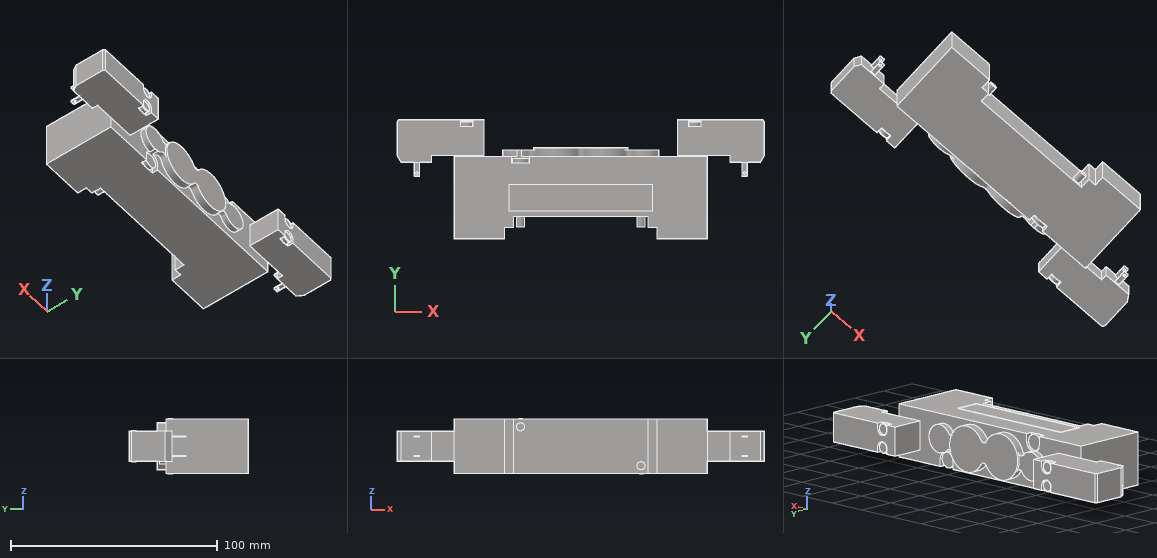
import cadquery as cq
import math


housing_length = 123.0
housing_depth = 40.0
housing_height = 26.5
foot_inner_x = 36.9
foot_depth = 5.3
bay_half_length = 32.6
bay_depth = 10.7

label_length = 69.5
label_width = 13.0
label_offset = 13.5
label_recess = 0.2

main_boss_diameter = 23.0
main_boss_radius = main_boss_diameter / 2
main_boss_height = 4.3
side_boss_radius = 7.1
side_boss_height = 3.2
side_boss_x = 30.8
side_boss_z = 1.6
neck_fillet_radius = 2.0

screw_x = 29.2
screw_z = 9.5
shank_diameter = 4.0
shank_protrusion = 5.0
head_diameter = 8.0
head_height = 2.1
seat_depth = 3.2
seat_width = 8.5

pilot_outer_x = 89.1
pilot_inner_x = 46.9
pilot_step_x = 72.3
pilot_height = 14.6
pilot_gap = 0.4
pilot_rear_y = 17.8
pilot_step_depth = 3.2
front_chamfer_x = 2.0
front_chamfer_y = 3.2
rear_chamfer_x = 0.7
rear_chamfer_y = 1.0

pilot_screw_x = 55.5
pilot_screw_z = 4.6
pilot_head_diameter = 5.9
pilot_head_height = 2.5
pilot_head_chamfer = 0.4
pilot_seat_depth = 3.2
pilot_seat_width = 6.0

terminal_x = 79.5
terminal_z = 4.8
terminal_width = 2.7
terminal_thickness = 0.5
terminal_length = 6.8
terminal_corner = 0.2
terminal_hole_diameter = 1.0
terminal_hole_inset = 1.6


def cylinder_along_y(x, z, diameter, y_start, y_end):
    """Cylinder parallel to Y between two Y positions."""
    plane = cq.Plane(origin=(x, y_start, z), xDir=(1, 0, 0), normal=(0, 1, 0))
    return cq.Workplane(plane).circle(diameter / 2).extrude(y_end - y_start)


def open_seat(x, z, width, side, y_start, y_end):
    """U-shaped screw seat: a round floor with straight walls that open past the side face."""
    length = y_end - y_start
    round_end = cylinder_along_y(x, z, width, y_start, y_end)
    opening = cq.Workplane("XY").box(width, length, width)
    opening = opening.translate((x, (y_start + y_end) / 2, z + side * width / 2))
    return round_end.union(opening)


def neck(spacing, start_radius, end_radius, height):
    """Web along +X that joins a boss at the origin to a boss at `spacing`, with filleted flanks."""
    start_reach = start_radius + neck_fillet_radius
    end_reach = end_radius + neck_fillet_radius
    along = (start_reach**2 - end_reach**2 + spacing**2) / (2 * spacing)
    across = math.sqrt(start_reach**2 - along**2)
    waist = across - neck_fillet_radius

    start_x = along * start_radius / start_reach
    start_z = across * start_radius / start_reach
    end_x = spacing - (spacing - along) * end_radius / end_reach
    end_z = across * end_radius / end_reach

    return (
        cq.Workplane("XZ")
        .moveTo(start_x, start_z)
        .threePointArc((along, waist), (end_x, end_z))
        .lineTo(end_x, -end_z)
        .threePointArc((along, -waist), (start_x, -start_z))
        .close()
        .extrude(-height)
    )


def main_bosses():
    """Two round bosses side by side, joined by a neck at the middle of the rear face."""
    bosses = neck(main_boss_diameter, main_boss_radius, main_boss_radius, main_boss_height)
    bosses = bosses.translate((-main_boss_radius, 0, 0))
    for side in (-1, 1):
        bosses = bosses.union(
            cylinder_along_y(side * main_boss_radius, 0, main_boss_diameter, 0, main_boss_height)
        )
    return bosses


def right_side_boss():
    """Lower round boss on the right, with the neck that joins it to the right main boss."""
    run = side_boss_x - main_boss_radius
    spacing = math.hypot(run, side_boss_z)
    tilt = math.degrees(math.atan2(side_boss_z, run))
    boss_neck = (
        neck(spacing, main_boss_radius, side_boss_radius, side_boss_height)
        .rotate((0, 0, 0), (0, 1, 0), -tilt)
        .translate((main_boss_radius, 0, 0))
    )
    boss = cylinder_along_y(side_boss_x, side_boss_z, 2 * side_boss_radius, 0, side_boss_height)
    return boss.union(boss_neck)


def housing_screw(side):
    """Screw with its head in the rear seat; the right one (side = 1) is low, the left one high."""
    x = side * screw_x
    z = -side * screw_z
    shank_end_y = bay_depth - housing_depth - shank_protrusion
    shank = cylinder_along_y(x, z, shank_diameter, shank_end_y, -seat_depth)
    head = cylinder_along_y(x, z, head_diameter, -seat_depth, head_height - seat_depth)
    return shank.union(head)


def make_housing():
    body = cq.Workplane("XY").box(housing_length, housing_depth, housing_height)
    body = body.translate((0, -housing_depth / 2, 0))
    for half_length, depth in ((foot_inner_x, foot_depth), (bay_half_length, bay_depth)):
        step = cq.Workplane("XY").box(2 * half_length, depth, housing_height)
        body = body.cut(step.translate((0, depth / 2 - housing_depth, 0)))

    label = cq.Workplane("XY").box(label_length, label_width, 2 * label_recess)
    body = body.cut(label.translate((0, -label_offset - label_width / 2, housing_height / 2)))

    right_boss = right_side_boss()
    left_boss = right_boss.rotate((0, 0, 0), (0, 1, 0), 180)
    body = body.union(main_bosses()).union(right_boss).union(left_boss)

    for side in (-1, 1):
        x = side * screw_x
        z = -side * screw_z
        body = body.cut(open_seat(x, z, seat_width, -side, -seat_depth, main_boss_height))
        body = body.cut(cylinder_along_y(x, z, shank_diameter, -housing_depth, 0))
    return body


def make_terminal(z):
    """Flat blade with a small hole and clipped corners at its free end."""
    root_y = pilot_gap - pilot_step_depth
    tip_y = root_y - terminal_length
    blade = (
        cq.Workplane("XY")
        .box(terminal_width, terminal_length, terminal_thickness)
        .edges("|Z and <Y")
        .chamfer(terminal_corner)
        .translate((terminal_x, (root_y + tip_y) / 2, 0))
    )
    hole = (
        cq.Workplane("XY")
        .center(terminal_x, tip_y + terminal_hole_inset)
        .circle(terminal_hole_diameter / 2)
        .extrude(terminal_thickness, both=True)
    )
    return blade.cut(hole).translate((0, 0, z))


def make_right_pilot():
    """Pilot valve on the right, with its two screw heads and two terminals."""
    front_y = pilot_gap - pilot_step_depth
    pilot = (
        cq.Workplane("XY")
        .polyline(
            [
                (pilot_inner_x, pilot_gap),
                (pilot_step_x, pilot_gap),
                (pilot_step_x, front_y),
                (pilot_outer_x - front_chamfer_x, front_y),
                (pilot_outer_x, front_y + front_chamfer_y),
                (pilot_outer_x, pilot_rear_y - rear_chamfer_y),
                (pilot_outer_x - rear_chamfer_x, pilot_rear_y),
                (pilot_inner_x, pilot_rear_y),
            ]
        )
        .close()
        .extrude(pilot_height / 2, both=True)
    )
    seat_y = pilot_rear_y - pilot_seat_depth
    for side in (-1, 1):
        z = side * pilot_screw_z
        pilot = pilot.cut(open_seat(pilot_screw_x, z, pilot_seat_width, side, seat_y, pilot_rear_y))
        head = cylinder_along_y(pilot_screw_x, z, pilot_head_diameter, seat_y, seat_y + pilot_head_height)
        pilot = pilot.union(head.faces(">Y").chamfer(pilot_head_chamfer))
        pilot = pilot.union(make_terminal(side * terminal_z))
    return pilot


housing = make_housing()
housing_screws = [housing_screw(side) for side in (-1, 1)]
right_pilot = make_right_pilot()
pilots = [right_pilot, right_pilot.mirror("YZ")]

result = cq.Compound.makeCompound(
    [
        housing.val(),
        *[screw.val() for screw in housing_screws],
        *[pilot.val() for pilot in pilots],
    ]
)